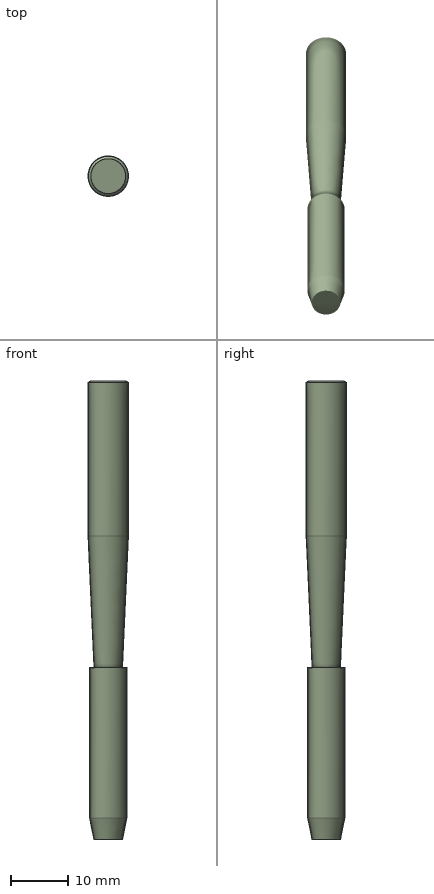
import cadquery as cq

total_length = 80.0
shank_diameter = 7.0
shank_length = 27.0
shank_chamfer_width = 0.5
shank_chamfer_height = 0.3
neck_end_diameter = 5.0
plug_diameter = 6.5
plug_top = 30.0
tip_diameter = 5.0
tip_length = 3.8

shank_bottom = total_length - shank_length
shank_radius = shank_diameter / 2


def revolve_profile(points):
    """Turn a closed (radius, height) outline about the Z axis."""
    return cq.Workplane("XZ").polyline(points).close().revolve(360, (0, 0), (0, 1))


def make_pin():
    """Chamfered cylindrical shank narrowing through a conical neck."""
    return revolve_profile([
        (0, plug_top),
        (neck_end_diameter / 2, plug_top),
        (shank_radius, shank_bottom),
        (shank_radius, total_length - shank_chamfer_height),
        (shank_radius - shank_chamfer_width, total_length),
        (0, total_length),
    ])


def make_lower_plug():
    """Cylinder with a conical lower tip; the pin neck rests on its flat top."""
    return revolve_profile([
        (0, 0),
        (tip_diameter / 2, 0),
        (plug_diameter / 2, tip_length),
        (plug_diameter / 2, plug_top),
        (0, plug_top),
    ])


pin = make_pin()
lower_plug = make_lower_plug()

result = cq.Compound.makeCompound([pin.val(), lower_plug.val()])